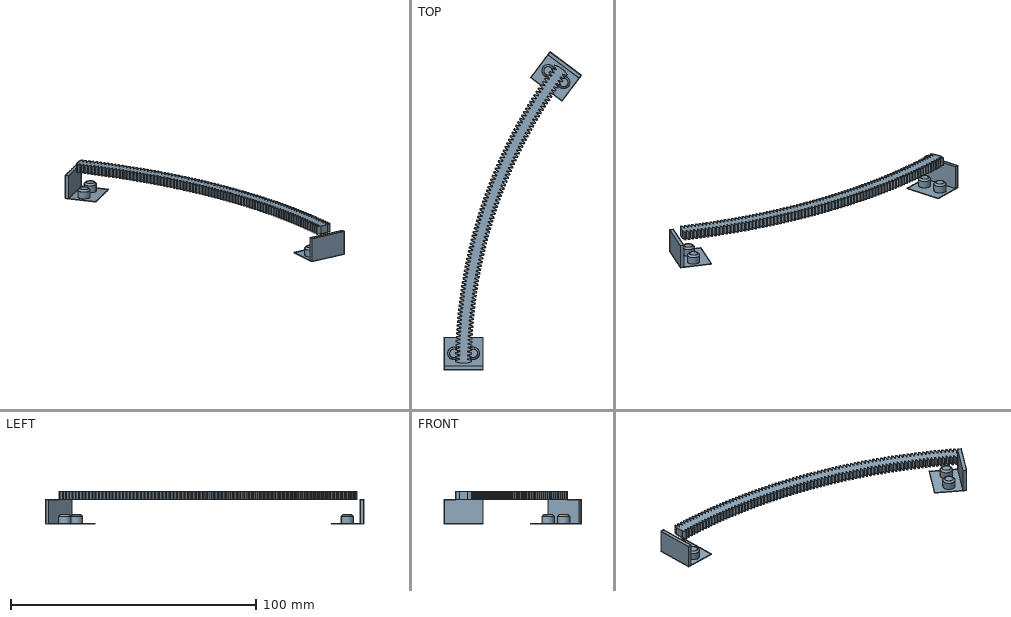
import cadquery as cq
import math

OVERALL_LENGTH = 129.8
ARC_RADIUS = 200.0
SWEEP_ANGLE = 36.9
TOOTH_COUNT = 81
TOOTH_PITCH_ANGLE = SWEEP_ANGLE / TOOTH_COUNT

RACK_THICKNESS = 3.4
RACK_WIDTH = 6.5
ROOT_WIDTH = 3.2
TOOTH_TIP_SHARE = 0.3
TOOTH_BASE_SHARE = 0.9

BRACKET_WIDTH = 16.0
BRACKET_DEPTH = 13.2
BRACKET_HEIGHT = 10.0
PLATE_THICKNESS = 0.2
FLANGE_THICKNESS = 1.5
BEND_CHAMFER = 0.2
SWEEP = math.radians(SWEEP_ANGLE)
OVERHANG = (OVERALL_LENGTH - (ARC_RADIUS + BRACKET_WIDTH / 2) * math.sin(SWEEP)) / (1 + math.cos(SWEEP))

PEG_DIAMETER = 5.0
PEG_SPACING = 7.9
PEG_SETBACK = 6.8
PEG_TOP = 3.9
PEG_CHAMFER = 0.8


def polar_point(radius, angle):
    """Point at a clockwise angle in degrees, measured from the -X axis."""
    turn = math.radians(angle)
    return (-radius * math.cos(turn), radius * math.sin(turn))


def toothed_edge(side):
    """Points along one rack edge: side is +1 for the outside of the arc, -1 for the inside."""
    root = ARC_RADIUS + side * ROOT_WIDTH / 2
    tip = ARC_RADIUS + side * RACK_WIDTH / 2
    half_base = TOOTH_BASE_SHARE * TOOTH_PITCH_ANGLE / 2
    half_tip = TOOTH_TIP_SHARE * TOOTH_PITCH_ANGLE / 2
    points = []
    for tooth in range(TOOTH_COUNT):
        middle = (tooth + 0.5) * TOOTH_PITCH_ANGLE
        points.append(polar_point(root, middle - half_base))
        points.append(polar_point(tip, middle - half_tip))
        points.append(polar_point(tip, middle + half_tip))
        points.append(polar_point(root, middle + half_base))
    start = polar_point(root, 0)
    end = polar_point(root, SWEEP_ANGLE)
    return [start, *points, end]


def make_rack():
    """Flat curved bar with teeth along both edges, its underside level with the flange tops."""
    outline = toothed_edge(1) + toothed_edge(-1)[::-1]
    flange_tops = cq.Workplane("XY", origin=(0, 0, BRACKET_HEIGHT))
    return flange_tops.polyline(outline).close().extrude(RACK_THICKNESS)


def make_bracket():
    """L-shaped bracket with two pegs, under the rack end that lies on the -X axis."""
    plate = cq.Workplane("XY").box(
        BRACKET_WIDTH, BRACKET_DEPTH, PLATE_THICKNESS, centered=(True, False, False)
    )
    flange = cq.Workplane("XY").box(
        BRACKET_WIDTH, FLANGE_THICKNESS, BRACKET_HEIGHT, centered=(True, False, False)
    )
    angle = plate.union(flange).edges("<Y and <Z").chamfer(BEND_CHAMFER)
    pegs = (
        cq.Workplane("XY")
        .pushPoints([(-PEG_SPACING / 2, PEG_SETBACK), (PEG_SPACING / 2, PEG_SETBACK)])
        .circle(PEG_DIAMETER / 2)
        .extrude(PEG_TOP)
        .faces(">Z")
        .chamfer(PEG_CHAMFER)
    )
    return angle.union(pegs).translate((-ARC_RADIUS, -OVERHANG, 0))


rack = make_rack()
start_bracket = make_bracket()
end_bracket = make_bracket().mirror("XZ").rotate((0, 0, 0), (0, 0, 1), -SWEEP_ANGLE)

result = cq.Compound.makeCompound([rack.val(), start_bracket.val(), end_bracket.val()])